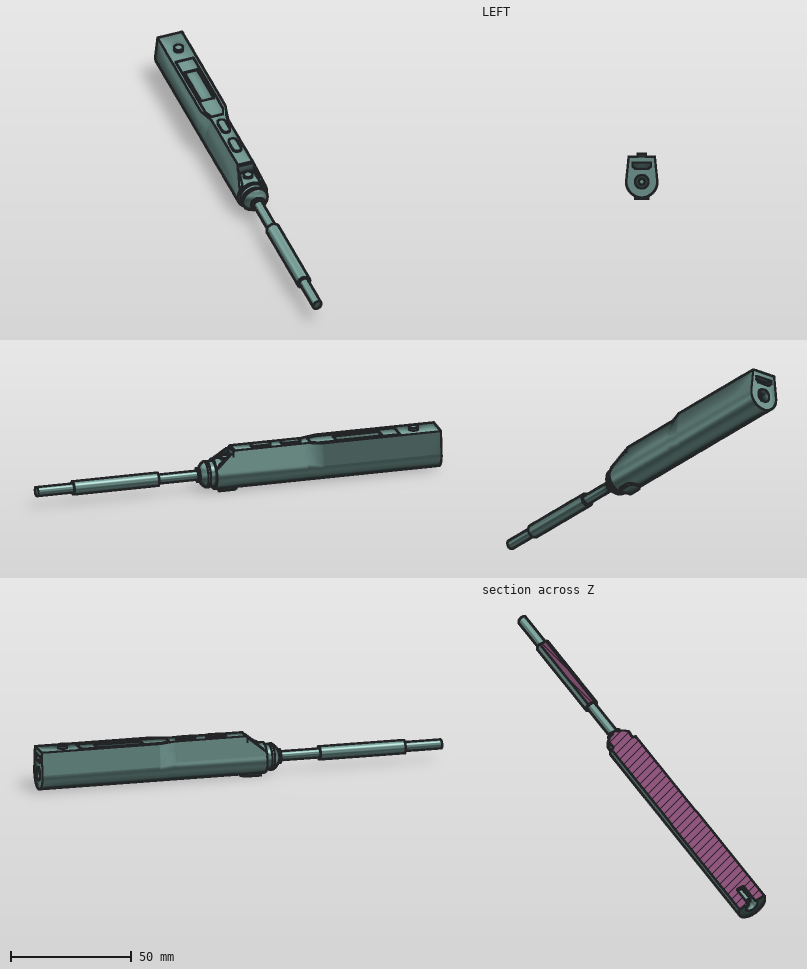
import cadquery as cq
import math


grip_radius = 6.5
top_height = 10.45
rear_side_angle = 6.0
front_side_angle = 18.9
rear_grip_end = 50.8
front_grip_start = 57.6
shell_end = 96.7

slope_start = 88.3
slope_end_height = 3.6
core_radius = 6.3
core_start = 88.9
front_pocket_width = 7.4

nose_diameter = 10.65
ring_diameter = 11.0
ring_start = 99.1
ring_end = 100.2
collar_diameter = 5.8
dome_end_diameter = 5.0
collar_start = 102.8
dome_bulge = 0.35
nose_end = 103.6

jack_diameter = 5.6
jack_pin_diameter = 2.5
jack_depth = 9.0
jack_pin_length = 6.0
usb_width = 7.8
usb_height = 2.6
usb_corner = 1.2
usb_bottom = 5.3
usb_depth = 5.0

rear_button_x = 10.3
rear_button_diameter = 3.7
rear_button_height = 1.2
panel_start = 17.3
panel_shoulder = 52.2
panel_end = 55.5
panel_width = 7.8
panel_tip_width = 5.0
panel_depth = 0.2
screen_start = 24.6
screen_end = 44.4
screen_width = 5.7
screen_depth = 0.5
key_centers = (63.3, 76.3)
key_length = 8.4
key_width = 3.6
key_height = 0.55
screw_x = 91.7
screw_diameter = 3.7
screw_top = 7.0

pad_start = 86.6
pad_end = 94.8
pad_width = 5.7
pad_drop = 0.55

rod_diameter = 3.85
sleeve_diameter = 5.6
sleeve_start = 120.6
sleeve_end = 157.1
tip_end = 173.0
tip_bevel = 0.5
tip_start = shell_end


def x_cylinder(diameter, start, end):
    """Cylinder along the X axis."""
    return cq.Workplane("YZ", origin=(start, 0, 0)).circle(diameter / 2).extrude(end - start)


def grip_section(x, side_angle):
    """Closed grip outline: flat top, leaning sides and a round underside tangent to them."""
    angle = math.radians(side_angle)
    tangent_y = grip_radius * math.cos(angle)
    tangent_z = grip_radius * math.sin(angle)
    top_y = tangent_y - (top_height - tangent_z) * math.tan(angle)
    return (
        cq.Workplane("YZ", origin=(x, 0, 0))
        .moveTo(-top_y, top_height)
        .lineTo(top_y, top_height)
        .lineTo(tangent_y, tangent_z)
        .threePointArc((0, -grip_radius), (-tangent_y, tangent_z))
        .close()
    )


def grip_shell():
    """Rear grip, narrowing transition and front grip."""
    rear = grip_section(0, rear_side_angle).extrude(rear_grip_end)
    front = grip_section(front_grip_start, front_side_angle).extrude(shell_end - front_grip_start)
    rear_wire = grip_section(rear_grip_end, rear_side_angle).val()
    front_wire = grip_section(front_grip_start, front_side_angle).val()
    transition = cq.Workplane(cq.Solid.makeLoft([rear_wire, front_wire], True))
    return rear.union(transition).union(front)


def slope_cutter():
    """Wedge above the sloped front end."""
    return (
        cq.Workplane("XZ")
        .polyline([(slope_start, top_height), (shell_end, top_height), (shell_end, slope_end_height)])
        .close()
        .extrude(grip_radius, both=True)
    )


def front_pocket():
    """Pocket through the slope, down to the round core."""
    return (
        cq.Workplane("XY", origin=(core_start, -front_pocket_width / 2, 0))
        .rect(shell_end - core_start, front_pocket_width, centered=False)
        .extrude(top_height)
    )


def nose():
    """Neck, raised ring, dome and collar in front of the shell."""
    neck_radius = nose_diameter / 2
    ring_radius = ring_diameter / 2
    collar_radius = collar_diameter / 2
    return (
        cq.Workplane("XY")
        .moveTo(shell_end, 0)
        .lineTo(shell_end, neck_radius)
        .lineTo(ring_start, neck_radius)
        .lineTo(ring_start, ring_radius)
        .lineTo(ring_end, ring_radius)
        .sagittaArc((collar_start, dome_end_diameter / 2), dome_bulge)
        .lineTo(collar_start, collar_radius)
        .lineTo(nose_end, collar_radius)
        .lineTo(nose_end, 0)
        .close()
        .revolve(360, (0, 0, 0), (1, 0, 0))
    )


def power_jack():
    """Ring-shaped cut that leaves the contact pin standing on the floor of the jack."""
    bore = x_cylinder(jack_diameter, 0, jack_depth)
    pin = x_cylinder(jack_pin_diameter, jack_depth - jack_pin_length, jack_depth)
    return bore.cut(pin)


def usb_socket():
    return (
        cq.Workplane("YZ")
        .center(0, usb_bottom + usb_height / 2)
        .rect(usb_width, usb_height)
        .extrude(usb_depth)
        .edges("|X and <Z")
        .chamfer(usb_corner)
    )


def display_panel():
    """Shallow recess with a tapered front end, and the deeper screen window in its floor."""
    panel = (
        cq.Workplane("XY", origin=(0, 0, top_height - panel_depth))
        .moveTo(panel_start, -panel_width / 2)
        .lineTo(panel_shoulder, -panel_width / 2)
        .lineTo(panel_end, -panel_tip_width / 2)
        .lineTo(panel_end, panel_tip_width / 2)
        .lineTo(panel_shoulder, panel_width / 2)
        .lineTo(panel_start, panel_width / 2)
        .close()
        .extrude(panel_depth)
    )
    screen = (
        cq.Workplane("XY", origin=((screen_start + screen_end) / 2, 0, top_height - panel_depth))
        .rect(screen_end - screen_start, screen_width)
        .extrude(-screen_depth)
    )
    return panel.union(screen)


def rear_button():
    return (
        cq.Workplane("XY", origin=(rear_button_x, 0, top_height))
        .circle(rear_button_diameter / 2)
        .extrude(rear_button_height)
    )


def top_key(center_x):
    return (
        cq.Workplane("XY", origin=(center_x, 0, top_height))
        .slot2D(key_length, key_width)
        .extrude(key_height)
    )


def ground_screw():
    """Flat screw head standing on the round core."""
    return cq.Workplane("XY", origin=(screw_x, 0, 0)).circle(screw_diameter / 2).extrude(screw_top)


def bottom_pad():
    half_width = pad_width / 2
    round_center = pad_start + half_width
    return (
        cq.Workplane("XY", origin=(0, 0, -grip_radius - pad_drop))
        .moveTo(pad_end, -half_width)
        .lineTo(pad_end, half_width)
        .lineTo(round_center, half_width)
        .threePointArc((pad_start, 0), (round_center, -half_width))
        .close()
        .extrude(grip_radius + pad_drop)
    )


def make_handle():
    handle = grip_shell().cut(slope_cutter()).cut(front_pocket())
    handle = handle.union(x_cylinder(2 * core_radius, core_start, shell_end))
    handle = handle.union(nose())
    handle = handle.union(ground_screw()).union(bottom_pad()).union(rear_button())
    for center_x in key_centers:
        handle = handle.union(top_key(center_x))
    handle = handle.cut(display_panel()).cut(power_jack()).cut(usb_socket())
    return handle.cut(x_cylinder(rod_diameter, tip_start, nose_end))


def make_tip():
    """Rod with a thicker sleeve and an end beveled across Y."""
    rod_radius = rod_diameter / 2
    tip = x_cylinder(rod_diameter, tip_start, tip_end)
    tip = tip.union(x_cylinder(sleeve_diameter, sleeve_start, sleeve_end))
    bevel = (
        cq.Workplane("XY")
        .polyline(
            [(tip_end, -rod_radius), (tip_end, rod_radius), (tip_end - tip_bevel, rod_radius)]
        )
        .close()
        .extrude(rod_diameter, both=True)
    )
    return tip.cut(bevel)


handle = make_handle()
tip = make_tip()
result = cq.Compound.makeCompound([handle.val(), tip.val()])